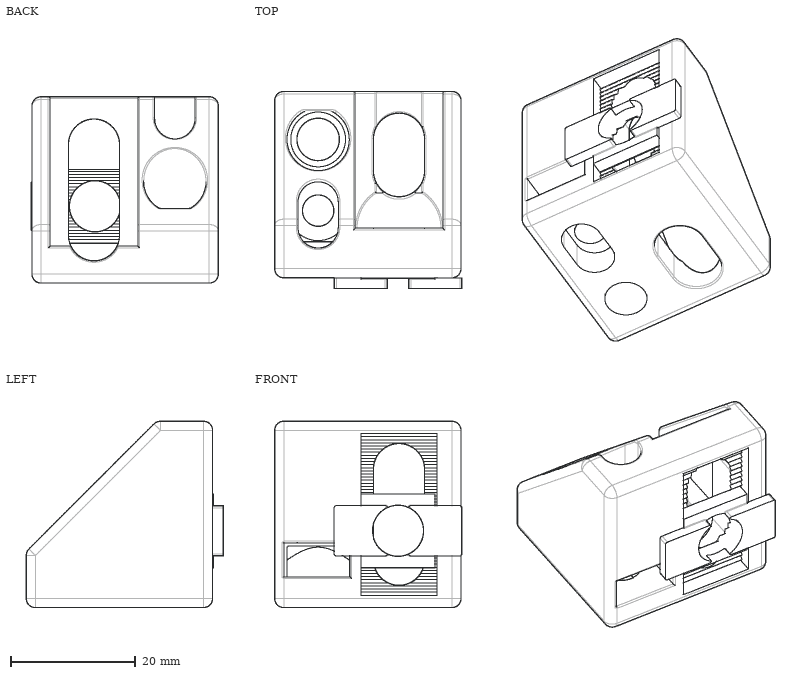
import cadquery as cq


touching = 0.003
past = 1.6

side = 30.0
slope_sum = 39.0
outer_round = 1.5
rim_round = 0.25

clamp_x = 20.0
clamp_width = 8.18
front_slot_low = 7.7
front_slot_high = side - front_slot_low

screw_pocket_width = 14.07
screw_pocket_rim_round = 0.32
screw_pocket_wall = 8.0
screw_pocket_floor = 6.0
head_relief_radius = 7.0
bottom_slot_near = 17.15
bottom_slot_far = 22.38

recess_height = 26.0
tooth_count = 26
tooth_pitch = recess_height / tooth_count
tooth_height = tooth_pitch / 2
recess_width = 12.17
recess_left = clamp_x - recess_width / 2
crest_depth = 2.0
root_depth = crest_depth + tooth_height
recess_bottom = (side - recess_height) / 2
recess_top = recess_bottom + recess_height

hole_x = 7.0
bore_y = 22.25
bore_radius = 3.4
cone_radius = 4.4
counterbore_radius = 5.0
counterbore_floor = 12.0

nut_size = 10.02
nut_thickness = 4.98
nut_flat_radius = 4.82
nut_bore_radius = 2.5
nut_y = 10.8
nut_pocket_left = 1.5
nut_pocket_right = 12.15
nut_pocket_floor = 4.95
nut_pocket_top = 10.43
nut_pocket_depth = nut_y + nut_size / 2
nut_slot_radius = 3.23
nut_slot_near = 8.05
nut_slot_far = 12.2

slider_x = 19.85
slider_z = 12.35
plate_left = recess_left
plate_right = 2 * slider_x - plate_left
plate_height = 11.9
plate_proud = 0.13
strip_length = 20.55
strip_height = 8.08
strip_thickness = 1.7
strip_gap = 3.42
strip_corner_round = 0.35
strip_foot_round = 0.1


def block(x_range, y_range, z_range):
    """A box given by its limits along each axis."""
    (x0, x1), (y0, y1), (z0, z1) = x_range, y_range, z_range
    return cq.Workplane("XY").box(x1 - x0, y1 - y0, z1 - z0, centered=False).translate((x0, y0, z0))


def upright_cylinder(x, y, radius, z0, z1):
    return cq.Workplane("XY", origin=(x, y, z0)).circle(radius).extrude(z1 - z0)


def cylinder_along_y(x, z, radius, y0, y1):
    return cq.Workplane("XZ", origin=(x, y0, z)).circle(radius).extrude(y0 - y1)


def upright_slot(x, y_near, y_far, radius, z0, z1):
    """A round-ended slot, long in Y, cut along Z."""
    length = y_far - y_near + 2 * radius
    middle = (x, (y_near + y_far) / 2, z0)
    return cq.Workplane("XY", origin=middle).slot2D(length, 2 * radius, 90).extrude(z1 - z0)


def shared_edges(body, first, second):
    """Edges of the body that lie on the surfaces of both shapes it was made from."""
    first_skin = cq.Compound.makeCompound(first.shells().vals())
    second_skin = cq.Compound.makeCompound(second.shells().vals())
    shared = []
    for edge in body.edges().vals():
        middle = cq.Vertex.makeVertex(*edge.positionAt(0.5).toTuple())
        if middle.distance(first_skin) < touching and middle.distance(second_skin) < touching:
            shared.append(edge)
    return shared


def cut_with_round_rim(body, tool, radius=rim_round):
    """Cut the tool from the body and round the edges where the cut breaks the body's surface."""
    cut_body = body.cut(tool)
    return cut_body.newObject(shared_edges(cut_body, body, tool)).fillet(radius)


def bracket_blank():
    profile = [(0, 0), (side, 0), (side, slope_sum - side), (slope_sum - side, side), (0, side)]
    return cq.Workplane("YZ").polyline(profile).close().extrude(side).edges().fillet(outer_round)


def toothed_recess():
    """The void of the front recess; its back face is a row of horizontal teeth."""
    outline = [(-past, recess_bottom), (root_depth, recess_bottom)]
    for tooth in range(tooth_count):
        root_z = recess_bottom + tooth * tooth_pitch
        outline.append((crest_depth, root_z + tooth_pitch / 2))
        outline.append((root_depth, root_z + tooth_pitch))
    outline.append((-past, recess_top))
    return cq.Workplane("YZ", origin=(recess_left, 0, 0)).polyline(outline).close().extrude(recess_width)


def screw_pocket():
    half_width = screw_pocket_width / 2
    return block(
        (clamp_x - half_width, clamp_x + half_width),
        (screw_pocket_wall, side + past),
        (screw_pocket_floor, side + past),
    )


def screw_relief():
    """Trough and quarter-sphere sunk in the pocket floor, coaxial with the low end of the front slot."""
    trough = cylinder_along_y(clamp_x, front_slot_low, clamp_width / 2, screw_pocket_wall, side + past)
    head_room = (
        cq.Workplane("XY")
        .sphere(head_relief_radius)
        .translate((clamp_x, screw_pocket_wall, front_slot_low))
    )
    in_front = block((0, side), (-side, screw_pocket_wall), (-side, side))
    return trough.union(head_room.cut(in_front))


def front_slot():
    length = front_slot_high - front_slot_low + clamp_width
    middle = (clamp_x, -past, (front_slot_low + front_slot_high) / 2)
    depth = screw_pocket_wall + 2 * past
    return cq.Workplane("XZ", origin=middle).slot2D(length, clamp_width, 90).extrude(-depth)


def bottom_slot():
    return upright_slot(
        clamp_x, bottom_slot_near, bottom_slot_far, clamp_width / 2, -past, screw_pocket_floor + past
    )


def counterbore():
    return upright_cylinder(hole_x, bore_y, counterbore_radius, counterbore_floor, side + past)


def bore():
    """Through hole with a 45 degree countersink below the counterbore."""
    cone_depth = cone_radius - bore_radius
    outline = [
        (0, -past),
        (bore_radius, -past),
        (bore_radius, counterbore_floor - cone_depth),
        (cone_radius, counterbore_floor),
        (0, counterbore_floor),
    ]
    return cq.Workplane("XZ", origin=(hole_x, bore_y, 0)).polyline(outline).close().revolve()


def nut_pocket():
    return block(
        (nut_pocket_left, nut_pocket_right),
        (-past, nut_pocket_depth),
        (nut_pocket_floor, nut_pocket_top),
    )


def nut_slot(z0, z1):
    return upright_slot(hole_x, nut_slot_near, nut_slot_far, nut_slot_radius, z0, z1)


def make_bracket():
    body = bracket_blank()
    body = cut_with_round_rim(body, screw_pocket(), screw_pocket_rim_round)
    body = cut_with_round_rim(body, screw_relief())
    body = cut_with_round_rim(body, bottom_slot())
    body = cut_with_round_rim(body, counterbore())
    body = body.cut(bore())
    body = cut_with_round_rim(body, nut_slot((nut_pocket_floor + nut_pocket_top) / 2, side + past))
    body = cut_with_round_rim(body, nut_pocket())
    body = body.cut(nut_slot(-past, nut_pocket_floor + past))
    return body.cut(toothed_recess()).cut(front_slot())


def make_nut():
    """Square nut whose top corners are turned off by a 45 degree cone."""
    top = nut_pocket_floor + nut_thickness
    half_size = nut_size / 2
    square = block(
        (hole_x - half_size, hole_x + half_size),
        (nut_y - half_size, nut_y + half_size),
        (nut_pocket_floor, top),
    )
    turned = (
        cq.Workplane("XY", origin=(hole_x, nut_y, nut_pocket_floor))
        .circle(nut_flat_radius + nut_thickness)
        .extrude(nut_thickness, taper=45)
    )
    hole = upright_cylinder(hole_x, nut_y, nut_bore_radius, nut_pocket_floor, top)
    return square.intersect(turned).cut(hole)


def slider_plate():
    """Plate in the recess, its back meshing with the teeth."""
    return toothed_recess().intersect(
        block(
            (plate_left, plate_right),
            (-plate_proud, root_depth),
            (slider_z - plate_height / 2, slider_z + plate_height / 2),
        )
    )


def strip_half(direction):
    """One half of the front strip, on the +X or -X side of the screw hole."""
    inner = slider_x + direction * strip_gap / 2
    outer = slider_x + direction * strip_length / 2
    return block(
        sorted((inner, outer)),
        (-strip_thickness, 0),
        (slider_z - strip_height / 2, slider_z + strip_height / 2),
    ).edges("|Y").fillet(strip_corner_round)


def make_slider():
    """Plate and strip joined with a small foot round, with one screw hole through both."""
    plate = slider_plate()
    strip = strip_half(-1).add(strip_half(1))
    body = plate
    for half in strip.vals():
        body = body.union(cq.Workplane(half))
    foot = []
    for edge in shared_edges(body, plate, strip):
        if abs(edge.Center().y + plate_proud) < touching:
            foot.append(edge)
    body = body.newObject(foot).fillet(strip_foot_round)
    hole = cylinder_along_y(slider_x, slider_z, clamp_width / 2, -strip_thickness, root_depth)
    return body.cut(hole)


bracket = make_bracket()
nut = make_nut()
slider = make_slider()
result = cq.Compound.makeCompound([bracket.val(), nut.val(), slider.val()])